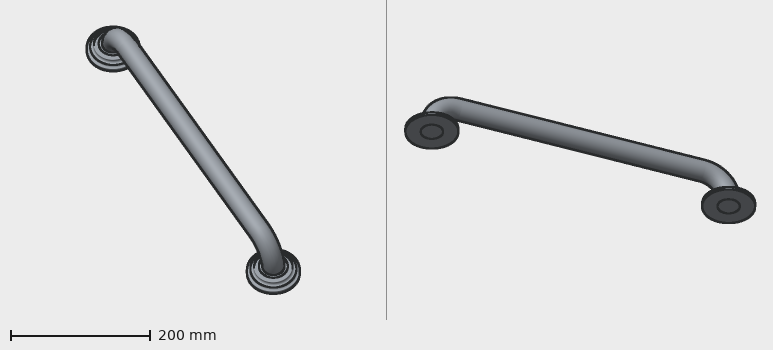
import cadquery as cq
import math

LENGTH = 533.5
HEIGHT = 70.0
FLANGE_DIAMETER = 76.5

TUBE_DIAMETER = 32.0
BEND_RADIUS = 41.0

DISC_HEIGHT = 5.2
EDGE_ROUND = 0.5
LOWER_STEP_RADIUS = 33.0
UPPER_STEP_RADIUS = 28.0
STEP_COVE_WIDTH = 3.0
STEP_COVE_RISE = 3.45
RIM_HEIGHT = 13.5
COLLAR_TOP_RADIUS = 21.0
COLLAR_COVE_WIDTH = 1.5
COLLAR_RISE = 2.0

flange_radius = FLANGE_DIAMETER / 2
tube_radius = TUBE_DIAMETER / 2
post_x = LENGTH / 2 - flange_radius
axis_z = HEIGHT - tube_radius
bend_bottom_z = axis_z - BEND_RADIUS
straight_end_x = post_x - BEND_RADIUS
lower_step_z = DISC_HEIGHT + STEP_COVE_RISE
collar_top_z = RIM_HEIGHT + COLLAR_RISE


def make_tube():
    """Round bar with two upright legs that bend over into the straight grip."""
    path = (
        cq.Workplane("XZ")
        .moveTo(-post_x, 0)
        .lineTo(-post_x, bend_bottom_z)
        .radiusArc((-straight_end_x, axis_z), BEND_RADIUS)
        .lineTo(straight_end_x, axis_z)
        .radiusArc((post_x, bend_bottom_z), BEND_RADIUS)
        .lineTo(post_x, 0)
    )
    return cq.Workplane("XY").center(-post_x, 0).circle(tube_radius).sweep(path)


def add_cove(profile, inner_radius, bottom_z, width, rise):
    """Continue the profile with a hollow arc that climbs inward to inner_radius."""
    bulge = 1 - math.sqrt(0.5)
    profile = profile.lineTo(inner_radius + width, bottom_z)
    return profile.threePointArc(
        (inner_radius + width * bulge, bottom_z + rise * bulge),
        (inner_radius, bottom_z + rise),
    )


def add_rounded_edge(profile, radius, top_z):
    """Continue the profile up a wall and over its rounded top edge."""
    profile = profile.lineTo(radius, top_z - EDGE_ROUND)
    return profile.radiusArc((radius - EDGE_ROUND, top_z), -EDGE_ROUND)


def make_flange(center_x, tube):
    """Stepped wall flange with a through hole that fits the tube leg and the start of its bend."""
    profile = cq.Workplane("XZ").lineTo(flange_radius, 0)
    profile = add_rounded_edge(profile, flange_radius, DISC_HEIGHT)
    profile = add_cove(profile, LOWER_STEP_RADIUS, DISC_HEIGHT, STEP_COVE_WIDTH, STEP_COVE_RISE)
    profile = add_cove(profile, UPPER_STEP_RADIUS, lower_step_z, STEP_COVE_WIDTH, STEP_COVE_RISE)
    profile = add_rounded_edge(profile, UPPER_STEP_RADIUS, RIM_HEIGHT)
    profile = add_cove(profile, COLLAR_TOP_RADIUS, RIM_HEIGHT, COLLAR_COVE_WIDTH, COLLAR_RISE)
    profile = profile.lineTo(0, collar_top_z).close()
    blank = profile.revolve(360, (0, 0, 0), (0, 1, 0)).translate((center_x, 0, 0))
    return blank.cut(tube)


tube = make_tube()
flanges = [make_flange(center_x, tube) for center_x in (-post_x, post_x)]

result = cq.Compound.makeCompound([tube.val(), *[flange.val() for flange in flanges]])